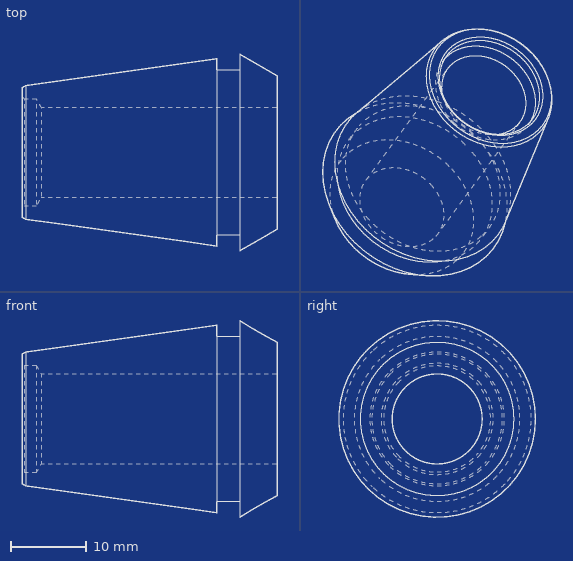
import cadquery as cq
import math

length = 34.0
head_radius = 26.2 / 2
head_start = 29.0
head_angle = math.radians(30)
taper_end = 25.95
taper_end_radius = 12.5
taper_angle = math.radians(8)
neck_radius = 11.0
edge_chamfer_length = 0.5
edge_chamfer_height = 0.27

bore_radius = 6.0
counterbore_radius = 7.1
counterbore_depth = 1.9
mouth_chamfer = 0.35
shoulder_angle = math.radians(60)

nose_radius = head_radius - (length - head_start) * math.tan(head_angle)
taper_start_radius = taper_end_radius - (taper_end - edge_chamfer_length) * math.tan(taper_angle)
shoulder_length = (counterbore_radius - bore_radius) / math.tan(shoulder_angle)

outer_profile = [
    (0, taper_start_radius - edge_chamfer_height),
    (edge_chamfer_length, taper_start_radius),
    (taper_end, taper_end_radius),
    (taper_end, neck_radius),
    (head_start, neck_radius),
    (head_start, head_radius),
    (length, nose_radius),
]
bore_profile = [
    (length, bore_radius),
    (counterbore_depth + shoulder_length, bore_radius),
    (counterbore_depth, counterbore_radius),
    (mouth_chamfer, counterbore_radius),
    (0, counterbore_radius + mouth_chamfer),
]

result = (
    cq.Workplane("XY")
    .polyline(outer_profile + bore_profile)
    .close()
    .revolve(360, (0, 0, 0), (1, 0, 0))
)